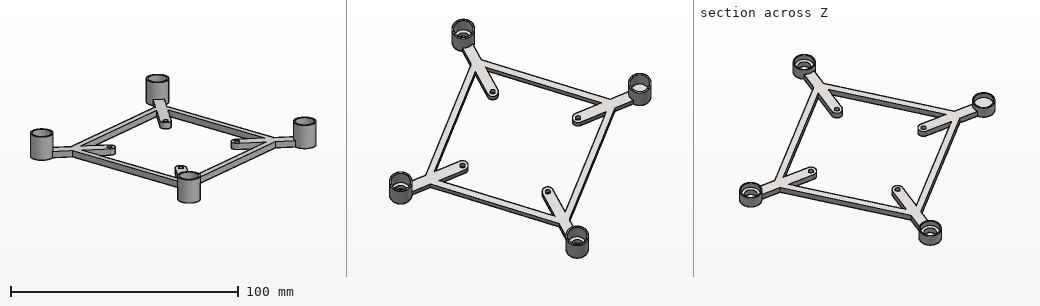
import cadquery as cq
import math

overall_width = 92.12
plate_thickness = 3.0
frame_outer_width = 66.9
frame_bar_width = 3.0

cup_diameter = 10.0
cup_height = 11.0
cup_bore_diameter = 8.5
cup_floor_thickness = plate_thickness
floor_hole_diameter = 5.5

arm_length = 30.0
arm_width = 5.0
mount_hole_diameter = 2.2

cup_radius = (overall_width - cup_diameter) / 2 * math.sqrt(2)
mount_radius = cup_radius - arm_length
corner_angles = [45, 135, 225, 315]
closed_cup_angle = 135


def disc(diameter, height, distance, angle, base=0):
    """Vertical cylinder at a given distance from the centre along a diagonal."""
    x = distance * math.cos(math.radians(angle))
    y = distance * math.sin(math.radians(angle))
    return cq.Workplane("XY", origin=(x, y, base)).circle(diameter / 2).extrude(height)


def square_frame():
    """Flat square ring that joins the four arms."""
    opening_width = frame_outer_width - 2 * frame_bar_width
    return (
        cq.Workplane("XY")
        .rect(frame_outer_width, frame_outer_width)
        .rect(opening_width, opening_width)
        .extrude(plate_thickness)
    )


def arm(angle):
    """Flat arm from the rounded mounting end to the centre of the cup."""
    bar = (
        cq.Workplane("XY")
        .center((mount_radius + cup_radius) / 2, 0)
        .rect(arm_length, arm_width)
        .extrude(plate_thickness)
        .rotate((0, 0, 0), (0, 0, 1), angle)
    )
    return bar.union(disc(arm_width, plate_thickness, mount_radius, angle))


body = square_frame()
for corner_angle in corner_angles:
    body = body.union(arm(corner_angle))
    body = body.union(disc(cup_diameter, cup_height, cup_radius, corner_angle))

cup_depth = cup_height - cup_floor_thickness
for corner_angle in corner_angles:
    body = body.cut(disc(cup_bore_diameter, cup_depth, cup_radius, corner_angle, cup_floor_thickness))
    body = body.cut(disc(mount_hole_diameter, plate_thickness, mount_radius, corner_angle))
    if corner_angle != closed_cup_angle:
        body = body.cut(disc(floor_hole_diameter, cup_floor_thickness, cup_radius, corner_angle))

result = body